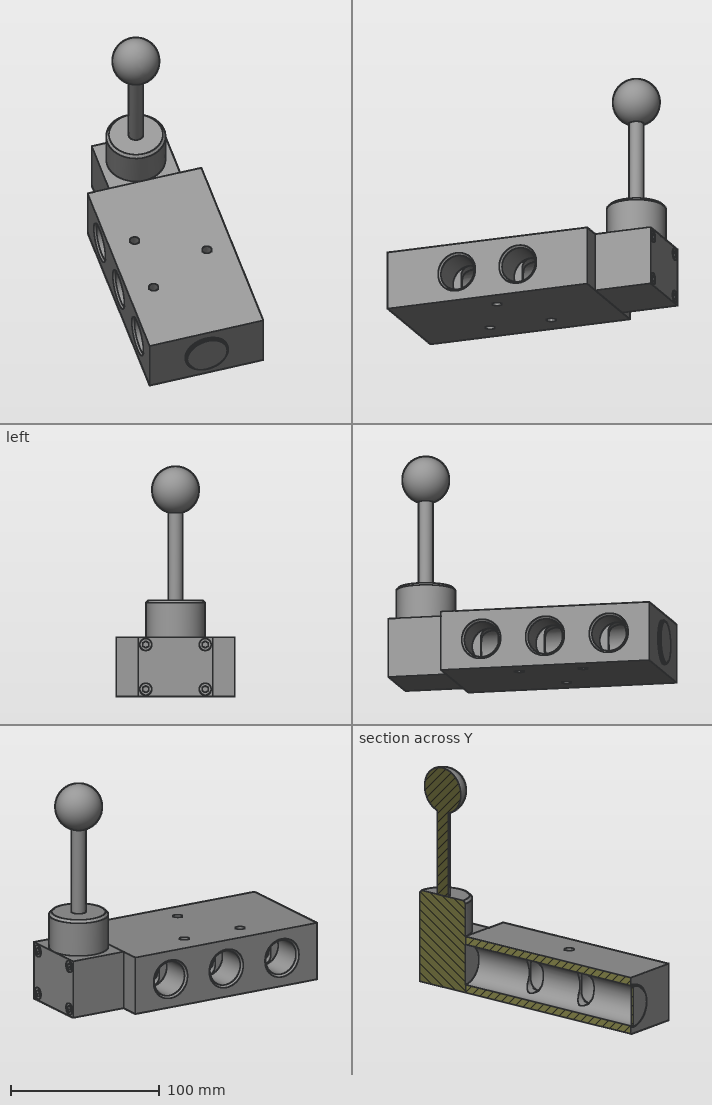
import cadquery as cq
import math

body_length = 144.0
body_width = 80.0
body_height = 40.0
mid_height = body_height / 2

housing_length = 40.0
housing_width = 50.0
turret_diameter = housing_length
turret_height = 25.0
turret_chamfer = 1.9
turret_top = body_height + turret_height

rod_diameter = 10.0
ball_diameter = 32.0
overall_height = 155.0
ball_center_height = overall_height - ball_diameter / 2

cap_length = 2.0
cap_diameter = 30.0
cap_tip_diameter = 28.0
cap_step_length = cap_length / 2

port_pitch = 44.0
port_diameter = 24.0
port_mouth_diameter = 27.0
port_chamfer = (port_mouth_diameter - port_diameter) / 2
port_depth = 24.2
slot_width = 12.3
slot_height = 23.8
bore_diameter = 28.0

mounting_hole_diameter = 6.5
mounting_hole_offset = port_pitch / 2

screw_spacing_y = 40.0
screw_spacing_z = 30.0
screw_seat_diameter = 8.0
screw_seat_depth = 0.2
screw_socket_flats = 3.9
screw_socket_corners = screw_socket_flats / math.cos(math.pi / 6)
screw_socket_depth = 4.0

housing_end_x = -housing_length / 2
joint_x = housing_length / 2
body_center_x = joint_x + body_length / 2
body_end_x = joint_x + body_length


def x_cylinder(diameter, start_x, length):
    """Cylinder along +X at mid height."""
    plane = cq.Plane(origin=(start_x, 0, mid_height), xDir=(0, 1, 0), normal=(1, 0, 0))
    return cq.Workplane(plane).circle(diameter / 2).extrude(length)


def port_cutter(x, side):
    """Port entering the body from its -Y face (side = -1) or +Y face (side = 1)."""
    plane = cq.Plane(
        origin=(x, side * body_width / 2, mid_height), xDir=(1, 0, 0), normal=(0, -side, 0)
    )
    bore = cq.Workplane(plane).circle(port_diameter / 2).extrude(port_depth)
    mouth = cq.Workplane(plane).circle(port_mouth_diameter / 2).extrude(
        port_chamfer, taper=45
    )
    slot = cq.Workplane(plane).slot2D(slot_height, slot_width, 90).extrude(body_width / 2)
    return bore.union(mouth).union(slot)


def make_valve_body():
    body = cq.Workplane("XY").box(body_length, body_width, body_height).translate(
        (body_center_x, 0, mid_height)
    )
    body = body.cut(x_cylinder(bore_diameter, joint_x, body_length))
    for step in (-1, 0, 1):
        body = body.cut(port_cutter(body_center_x + step * port_pitch, -1))
    for step in (-0.5, 0.5):
        body = body.cut(port_cutter(body_center_x + step * port_pitch, 1))

    hole_points = [
        (body_center_x, mounting_hole_offset),
        (body_center_x - mounting_hole_offset, -mounting_hole_offset),
        (body_center_x + mounting_hole_offset, -mounting_hole_offset),
    ]
    holes = cq.Workplane("XY").pushPoints(hole_points)
    body = body.cut(holes.circle(mounting_hole_diameter / 2).extrude(body_height))

    cap = x_cylinder(cap_diameter, body_end_x, cap_step_length)
    cap = cap.union(x_cylinder(cap_tip_diameter, body_end_x, cap_length))
    return body.union(cap)


def make_housing():
    block = cq.Workplane("XY").box(housing_length, housing_width, body_height).translate(
        (0, 0, mid_height)
    )
    turret = (
        cq.Workplane("XY", origin=(0, 0, body_height))
        .circle(turret_diameter / 2)
        .extrude(turret_height)
        .faces(">Z")
        .chamfer(turret_chamfer)
    )
    end_face = cq.Plane(
        origin=(housing_end_x, 0, mid_height), xDir=(0, 1, 0), normal=(1, 0, 0)
    )
    screws = cq.Workplane(end_face).rarray(screw_spacing_y, screw_spacing_z, 2, 2)
    seats = screws.circle(screw_seat_diameter / 2).extrude(screw_seat_depth)
    sockets = (
        cq.Workplane(end_face.rotated((0, 0, 90)))
        .rarray(screw_spacing_z, screw_spacing_y, 2, 2)
        .polygon(6, screw_socket_corners)
        .extrude(screw_socket_depth)
    )
    return block.union(turret).cut(seats).cut(sockets)


def make_lever():
    rod = (
        cq.Workplane("XY", origin=(0, 0, turret_top))
        .circle(rod_diameter / 2)
        .extrude(ball_center_height - turret_top)
    )
    ball = cq.Workplane("XY").sphere(ball_diameter / 2).translate((0, 0, ball_center_height))
    return rod.union(ball)


valve_body = make_valve_body()
housing = make_housing()
lever = make_lever()

result = cq.Compound.makeCompound([valve_body.val(), housing.val(), lever.val()])